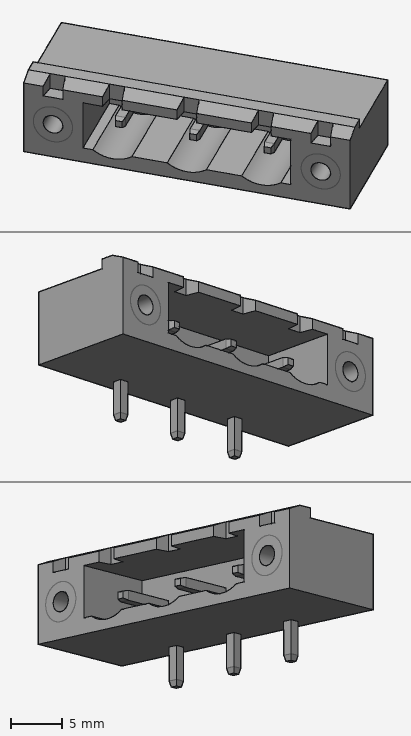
import cadquery as cq


length = 33.45
depth = 12.0
back_height = 7.6
front_height = 8.6
lip_depth = 3.0
bevel_depth = 1.5
bevel_drop = 0.6

pitch = 7.62
contact_xs = [-pitch, 0.0, pitch]

cavity_width = 21.27
cavity_floor = 1.65
cavity_top = front_height - 1.7
cavity_depth = 8.35
groove_width = 4.0
groove_drop = 0.65

flange_x = 13.7
flange_z = 3.78
bore_diameter = 2.0
insert_diameter = 4.0
bore_depth = 6.02

notch_front_width = 2.0
notch_back_width = 1.55

pin_size = 1.0
pin_z = 3.78
pin_y = depth - 2.0
pin_front_y = 2.0
pin_drop = 4.0
tip_length = 0.6
tip_size = 0.7


def make_housing():
    """Side profile with a raised, bevelled front lip, extruded along the row."""
    profile = [
        (0, 0),
        (depth, 0),
        (depth, back_height),
        (lip_depth, back_height),
        (lip_depth, front_height),
        (bevel_depth, front_height),
        (0, front_height - bevel_drop),
    ]
    return cq.Workplane("YZ").polyline(profile).close().extrude(length / 2, both=True)


def make_cavity():
    """Rectangular opening whose floor has a shallow round groove under each contact."""
    half_width = cavity_width / 2
    half_groove = groove_width / 2
    outline = cq.Workplane("XZ").moveTo(-half_width, cavity_top).lineTo(-half_width, cavity_floor)
    for x in contact_xs:
        outline = outline.lineTo(x - half_groove, cavity_floor).threePointArc(
            (x, cavity_floor - groove_drop), (x + half_groove, cavity_floor)
        )
    outline = outline.lineTo(half_width, cavity_floor).lineTo(half_width, cavity_top).close()
    return outline.extrude(-cavity_depth)


def make_notch(x):
    """Notch open to the front and top, narrowing towards the back of the bevel."""
    half_front = notch_front_width / 2
    half_back = notch_back_width / 2
    plan = [
        (x - half_front, 0),
        (x + half_front, 0),
        (x + half_back, bevel_depth),
        (x - half_back, bevel_depth),
    ]
    return (
        cq.Workplane("XY", origin=(0, 0, cavity_top))
        .polyline(plan)
        .close()
        .extrude(front_height - cavity_top)
    )


def make_flange_cylinder(x, diameter):
    """Cylinder running back from the mating face on a flange screw axis."""
    return cq.Workplane("XZ", origin=(x, 0, flange_z)).circle(diameter / 2).extrude(-bore_depth)


def make_pin_leg(start, direction, leg_length):
    """Square bar from start along direction, ending in a tapered tip."""
    plane = cq.Plane(origin=start, xDir=(1, 0, 0), normal=direction)
    straight_length = leg_length - tip_length
    bar = cq.Workplane(plane).rect(pin_size, pin_size).extrude(straight_length)
    tip = (
        cq.Workplane(plane)
        .workplane(offset=straight_length)
        .rect(pin_size, pin_size)
        .workplane(offset=tip_length)
        .rect(tip_size, tip_size)
        .loft(ruled=True)
    )
    return bar.union(tip)


def make_pin(x):
    """Contact leg pointing forward and solder leg pointing down, joined at a square bend."""
    half_pin = pin_size / 2
    contact_start_y = pin_y + half_pin
    solder_start_z = pin_z + half_pin
    contact_leg = make_pin_leg((x, contact_start_y, pin_z), (0, -1, 0), contact_start_y - pin_front_y)
    solder_leg = make_pin_leg((x, pin_y, solder_start_z), (0, 0, -1), solder_start_z + pin_drop)
    return contact_leg.union(solder_leg)


result = make_housing().cut(make_cavity())

for notch_x in [-flange_x, *contact_xs, flange_x]:
    result = result.cut(make_notch(notch_x))

for contact_x in contact_xs:
    result = result.union(make_pin(contact_x))

for insert_x in [-flange_x, flange_x]:
    insert = make_flange_cylinder(insert_x, insert_diameter)
    bore = make_flange_cylinder(insert_x, bore_diameter)
    result = result.cut(insert, clean=False).union(insert.cut(bore), clean=False)